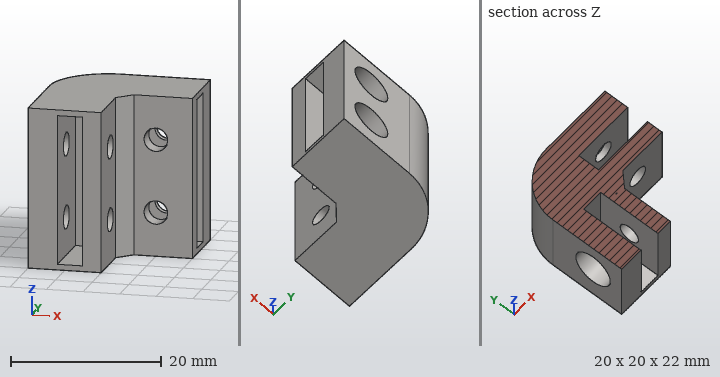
import cadquery as cq

height = 22.0
arm_length = 20.0
arm_thickness = arm_length / 2
outer_radius = 8.0
inner_chamfer = 2.0

slot_width = 3.4
slot_offset = 4.0
slot_end_wall = 0.8
slot_depth = arm_length - arm_thickness

hole_diameter = 3.2
bore_diameter = 6.0
bore_depth = 3.0
hole_spacing = arm_length / 2
hole_to_arm_end = arm_length / 4


def make_body():
    """L-shaped block with its outer corner at the origin."""
    block = (
        cq.Workplane("XY")
        .polyline([
            (0, 0),
            (arm_length, 0),
            (arm_length, -arm_thickness),
            (arm_thickness, -arm_thickness),
            (arm_thickness, -arm_length),
            (0, -arm_length),
        ])
        .close()
        .extrude(height)
    )
    outer_corner = cq.selectors.NearestToPointSelector((0, 0, height / 2))
    inner_corner = cq.selectors.NearestToPointSelector((arm_thickness, -arm_thickness, height / 2))
    block = block.edges("|Z").edges(outer_corner).fillet(outer_radius)
    return block.edges("|Z").edges(inner_corner).chamfer(inner_chamfer)


def make_arm_cutter():
    """Slot and screw holes of the arm along -Y, whose outer face lies on X = 0."""
    slot = cq.Workplane("XY").box(
        slot_width, slot_depth, height - 2 * slot_end_wall, centered=False
    )
    cutter = slot.translate((slot_offset, -arm_length, slot_end_wall))
    for side in (-1, 1):
        hole_height = height / 2 + side * hole_spacing / 2
        hole_axis = cq.Workplane("YZ").center(hole_to_arm_end - arm_length, hole_height)
        cutter = cutter.union(hole_axis.circle(hole_diameter / 2).extrude(arm_thickness))
        cutter = cutter.union(hole_axis.circle(bore_diameter / 2).extrude(bore_depth))
    return cutter


arm_cutter = make_arm_cutter()
mirrored_cutter = arm_cutter.mirror("YZ").rotate((0, 0, 0), (0, 0, 1), 90)

result = make_body().cut(arm_cutter).cut(mirrored_cutter)